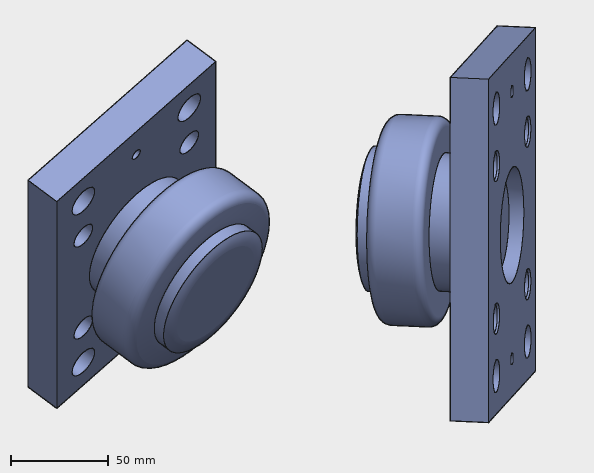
import cadquery as cq

plate_thickness = 20.0
plate_width = 120.0
plate_height = 180.0

shaft_diameter = 71.0
roller_diameter = 108.0
roller_start = 36.0
roller_end = 66.6
roller_inner_round = 5.0
roller_corner_start = 60.3
roller_crown_start = 65.7
roller_crown_diameter = 98.6
cap_diameter = 74.5
cap_end = 75.0
cap_rim_start = 73.0
cap_face_diameter = 58.3

recess_diameter = 60.0
recess_depth = 12.0
pin_face_depth = 6.5
pin_diameter = 54.0
pin_chamfer = 3.0

hole_spacing_y = 80.0
outer_hole_diameter = 17.0
outer_hole_spacing_z = 140.0
inner_hole_diameter = 14.0
inner_hole_spacing_z = 80.0
countersink_diameter = 16.0
countersink_angle = 90
dowel_hole_diameter = 6.0


def cylinder(diameter, start, end):
    """Cylinder on the X axis between two X positions."""
    return cq.Workplane("YZ", origin=(start, 0, 0)).circle(diameter / 2).extrude(end - start)


def back_face(body):
    """Workplane on the back of the plate, centred on the X axis."""
    return body.faces("<X").workplane(origin=(0, 0, 0))


def make_plate():
    plate = cq.Workplane("YZ").rect(plate_width, plate_height).extrude(plate_thickness)
    plate = (
        back_face(plate)
        .rarray(hole_spacing_y, outer_hole_spacing_z, 2, 2)
        .hole(outer_hole_diameter)
    )
    plate = (
        back_face(plate)
        .rarray(hole_spacing_y, inner_hole_spacing_z, 2, 2)
        .cskHole(inner_hole_diameter, countersink_diameter, countersink_angle, depth=plate_thickness)
    )
    return (
        back_face(plate)
        .rarray(plate_width, outer_hole_spacing_z, 1, 2)
        .hole(dowel_hole_diameter)
    )


def revolve_about_x(profile):
    """Full turn of an XY profile about the X axis."""
    return profile.close().revolve(360, (0, 0, 0), (1, 0, 0))


def make_roller():
    """Roller with a rounded inner corner, and an outer corner running into a crowned side."""
    radius = roller_diameter / 2
    profile = (
        cq.Workplane("XY")
        .moveTo(roller_start, 0)
        .lineTo(roller_start, radius - roller_inner_round)
        .tangentArcPoint((roller_start + roller_inner_round, radius), relative=False)
        .lineTo(roller_corner_start, radius)
        .tangentArcPoint((roller_crown_start, roller_crown_diameter / 2), relative=False)
        .tangentArcPoint((roller_end, cap_diameter / 2), relative=False)
        .lineTo(roller_end, 0)
    )
    return revolve_about_x(profile)


def make_cap():
    """End cap whose rim curves smoothly into its flat face."""
    profile = (
        cq.Workplane("XY")
        .moveTo(roller_end, 0)
        .lineTo(cap_end, 0)
        .lineTo(cap_end, cap_face_diameter / 2)
        .tangentArcPoint((cap_rim_start, cap_diameter / 2), relative=False)
        .lineTo(roller_end, cap_diameter / 2)
    )
    return revolve_about_x(profile)


def make_recess():
    """Round pocket whose floor carries the chamfered end of the pin."""
    pocket = cylinder(recess_diameter, 0, recess_depth)
    pin_end = cylinder(pin_diameter, pin_face_depth, recess_depth)
    return pocket.cut(pin_end.faces("<X").chamfer(pin_chamfer))


shaft = cylinder(shaft_diameter, plate_thickness, roller_start)
result = make_plate().union(shaft).union(make_roller()).union(make_cap()).cut(make_recess())